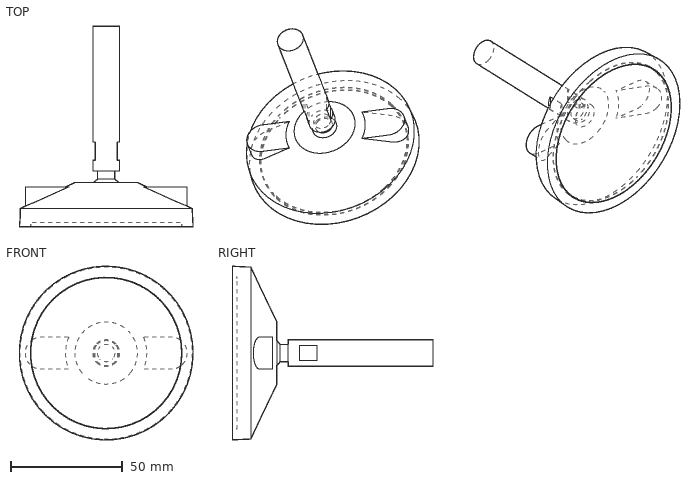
import cadquery as cq


base_diameter = 78.0
rim_top_diameter = 77.2
rim_height = 8.3
cone_top_diameter = 28.0
base_height = 20.0

groove_outer_diameter = 68.0
groove_inner_diameter = 67.5
groove_depth = 2.0

lug_width = 14.5
lug_center_distance = 29.0
lug_top = 18.0
lug_bottom = rim_height / 2

ball_diameter = 15.0
ball_center = 15.0
neck_diameter = 7.8
stud_diameter = 12.0
stud_bottom = 25.0
stud_top = 90.0

flat_spacing = 10.0
flat_bottom = 30.0
flat_length = 8.0


def disc(diameter, bottom, top):
    """Cylinder about the Y axis between two heights."""
    plane = cq.Workplane("XZ", origin=(0, bottom, 0))
    return plane.circle(diameter / 2).extrude(bottom - top)


def make_base():
    """Tapered rim with a cone on top, revolved about the Y axis."""
    profile = (
        cq.Workplane("XY")
        .moveTo(0, 0)
        .lineTo(base_diameter / 2, 0)
        .lineTo(rim_top_diameter / 2, rim_height)
        .lineTo(cone_top_diameter / 2, base_height)
        .lineTo(0, base_height)
        .close()
    )
    return profile.revolve(360, (0, 0, 0), (0, 1, 0))


def make_lugs():
    """One round-ended bar through the cone, whose ends form both lugs."""
    bar_length = 2 * lug_center_distance + lug_width
    plane = cq.Workplane("XZ", origin=(0, lug_bottom, 0))
    return plane.slot2D(bar_length, lug_width).extrude(lug_bottom - lug_top)


def make_groove():
    """Ring that is cut into the underside around the pad."""
    ring = disc(groove_outer_diameter, 0, groove_depth)
    return ring.cut(disc(groove_inner_diameter, 0, groove_depth))


def make_stud():
    """Neck and shank on the ball at the foot of the stud."""
    ball = cq.Workplane("XY").sphere(ball_diameter / 2).translate((0, ball_center, 0))
    neck = disc(neck_diameter, ball_center, stud_bottom)
    shank = disc(stud_diameter, stud_bottom, stud_top)
    return ball.union(neck).union(shank)


def cut_wrench_flats(stud):
    """Cut two opposite flats that face -X and +X."""
    for side in (-1, 1):
        cutter_x = side * (flat_spacing + stud_diameter) / 2
        cutter = cq.Workplane("XY").box(stud_diameter, flat_length, stud_diameter)
        stud = stud.cut(cutter.translate((cutter_x, flat_bottom + flat_length / 2, 0)))
    return stud


base = make_base().union(make_lugs()).cut(make_groove())
result = base.union(cut_wrench_flats(make_stud()))